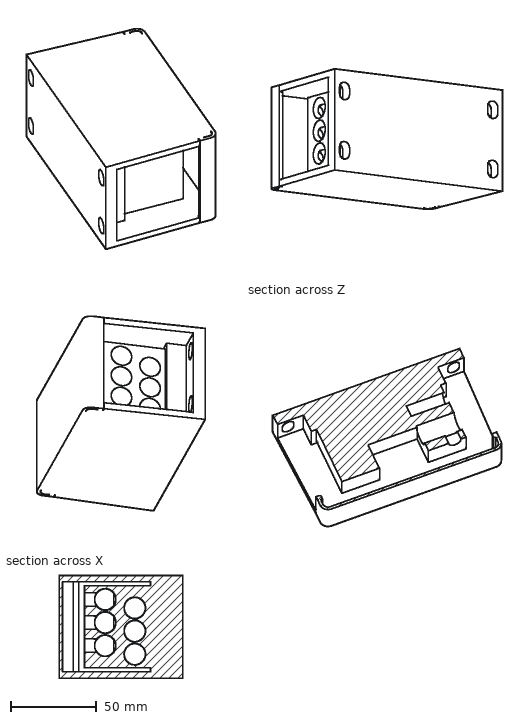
import cadquery as cq

length = 118.0
depth = 72.0
height = 60.0
front_wall = 7.1
plate = 3.9
mid_z = height / 2

cap_half = 57.0
cap_wall = 2.0
cap_start = 60.5
cap_corner = 5.1
cap_slit = 0.4
lip_inset = 1.2
lip_round = 1.4
lip_length = 3.2
corner_gap = 0.2
gap_run = 0.7

slot_width = 7.1
slot_height = 10.3
slot_x = 52.2
slot_spacing = 35.0

rail_half = 42.5
rail_back = 18.9
block_half = 39.2
block_back = 57.2
block_height = 47.8
channel_half = 15.3
channel_floor = 40.1

wire_radius = 6.1
wire_pitch = 13.5
wire_depth = block_half - channel_half
row_stagger = 2.5
front_row_y = 28.0
back_row_y = 45.2
screw_radius = 3.8
screw_inset = 7.1

inner_half = cap_half - cap_wall
inner_back = depth - cap_wall
inner_corner = cap_corner - cap_wall
lip_end = cap_start + lip_length


def box(x0, x1, y0, y1, z0, z1):
    return cq.Workplane("XY").box(x1 - x0, y1 - y0, z1 - z0, centered=False).translate((x0, y0, z0))


def outer_body():
    return (
        cq.Workplane("XY")
        .moveTo(-length / 2, 0)
        .lineTo(length / 2, 0)
        .lineTo(cap_half, cap_start)
        .lineTo(cap_half, depth - cap_corner)
        .radiusArc((cap_half - cap_corner, depth), -cap_corner)
        .lineTo(cap_corner - cap_half, depth)
        .radiusArc((-cap_half, depth - cap_corner), -cap_corner)
        .lineTo(-cap_half, cap_start)
        .close()
        .extrude(height)
    )


def cavity():
    """Open through both X ends ahead of the cap, and stepped around its lips inside it."""
    z0, z1 = plate, height - plate
    open_part = box(-length / 2, length / 2, front_wall, cap_start, z0, z1)
    lip_half = inner_half - lip_inset
    mouth_half = lip_half + lip_round
    throat = (
        cq.Workplane("XY", origin=(0, 0, z0))
        .moveTo(-mouth_half, cap_start)
        .lineTo(mouth_half, cap_start)
        .radiusArc((lip_half, cap_start + lip_round), lip_round)
        .lineTo(lip_half, lip_end)
        .lineTo(-lip_half, lip_end)
        .lineTo(-lip_half, cap_start + lip_round)
        .radiusArc((-mouth_half, cap_start), lip_round)
        .close()
        .extrude(z1 - z0)
    )
    inside = (
        box(-inner_half, inner_half, lip_end, inner_back, z0, z1)
        .edges("|Z and >Y")
        .fillet(inner_corner)
    )
    return open_part.union(throat).union(inside)


def cap_reliefs():
    """Narrow gaps through the housing at each cap end and around each back corner."""
    slit = box(inner_half, length / 2, cap_start - cap_slit, cap_start, 0, height)
    centre_x = inner_half - inner_corner
    centre_y = inner_back - inner_corner
    tight = inner_corner - corner_gap
    corner = (
        cq.Workplane("XY")
        .moveTo(inner_half, lip_end)
        .lineTo(inner_half, centre_y)
        .radiusArc((centre_x, inner_back), -inner_corner)
        .lineTo(centre_x - gap_run, inner_back)
        .lineTo(centre_x - gap_run, inner_back - corner_gap)
        .lineTo(centre_x, inner_back - corner_gap)
        .radiusArc((inner_half - corner_gap, centre_y), tight)
        .lineTo(inner_half - corner_gap, lip_end)
        .close()
        .extrude(height)
    )
    one_end = slit.union(corner)
    return one_end.union(one_end.mirror("YZ"))


def mounting_slots():
    return (
        cq.Workplane("XZ", origin=(0, 0, mid_z))
        .rarray(2 * slot_x, slot_spacing, 2, 2)
        .slot2D(slot_height, slot_width, 90)
        .extrude(-front_wall)
    )


def wire_hole(y, z):
    return cq.Workplane("YZ", origin=(-block_half, y, z)).circle(wire_radius).extrude(wire_depth)


def screw_hole(z):
    origin = (screw_inset - block_half, back_row_y, z)
    return cq.Workplane("XZ", origin=origin).circle(screw_radius).extrude(back_row_y - block_back)


def terminal_block():
    rail = box(-rail_half, rail_half, front_wall, rail_back, plate, height - plate)
    z0 = mid_z - block_height / 2
    z1 = mid_z + block_height / 2
    block = box(-block_half, block_half, rail_back, block_back, z0, z1)
    block = block.cut(box(-channel_half, channel_half, channel_floor, block_back, z0, z1))
    for step in (-1, 0, 1):
        front_z = mid_z - row_stagger + step * wire_pitch
        back_z = mid_z + row_stagger + step * wire_pitch
        block = block.cut(wire_hole(front_row_y, front_z))
        block = block.cut(wire_hole(back_row_y, back_z))
        block = block.cut(screw_hole(back_z))
    return rail.union(block)


housing = outer_body().cut(cavity()).cut(cap_reliefs()).cut(mounting_slots())
result = housing.union(terminal_block())